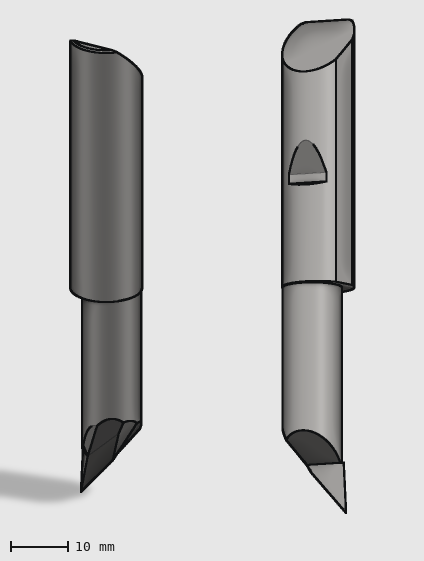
import cadquery as cq
import math

length = 88.55
shank_diameter = 12.7
shank_radius = shank_diameter / 2
shank_bottom = 40.5

flat_direction = 160.0
flat_half_angle = 20.0
slope_start = 77.75
slope_angle = 45.0
top_edge_break = 0.35
notch_top = 65.5
notch_deep_top = 59.8
notch_deep_bottom = 58.2
notch_bottom = 57.65
notch_depth = 1.1

neck_radius = 5.2
neck_x = shank_radius - neck_radius

blade_top = 9.0
tip = cq.Vector(-5.2, 0, 0)
blade_outer_corner = cq.Vector(-4.8, 0, blade_top)
ridge_corner = cq.Vector(-1.7, -3.45, blade_top)
edge_bend = cq.Vector(1.3, 0, 7.6)
edge_end = cq.Vector(shank_radius, 0, 15.9)
side_relief_end = cq.Vector(5.4, -3.0, 17.0)
ridge_end = cq.Vector(1.3, -neck_radius, 16.2)
heel_low = cq.Vector(-3.9, -1.6, 9.1)
heel_high = cq.Vector(-2.3, -3.9, 11.1)

margin = 0.9
cutter_size = 2.5 * length
along_x = cq.Vector(1, 0, 0)
along_y = cq.Vector(0, 1, 0)
along_z = cq.Vector(0, 0, 1)
kept_point = cq.Vector(neck_x, 0, length / 2)


def trim(body, point, first_direction, second_direction):
    """Remove all material beyond a plane, on the side away from the neck axis."""
    normal = first_direction.cross(second_direction)
    if normal.dot(kept_point - point) > 0:
        normal = -normal
    cutter = (
        cq.Workplane(cq.Plane(origin=point.toTuple(), normal=normal.toTuple()))
        .rect(cutter_size, cutter_size)
        .extrude(cutter_size)
    )
    return body.cut(cutter)


def trim_three_points(body, a, b, c):
    return trim(body, a, b - a, c - a)


def make_shank():
    shank = (
        cq.Workplane("XY", origin=(0, 0, shank_bottom))
        .circle(shank_radius)
        .extrude(length - shank_bottom)
        .faces(">Z").chamfer(top_edge_break)
    )
    slope_rise = math.tan(math.radians(slope_angle))
    slope_point = cq.Vector(0, shank_radius, slope_start)
    shank = trim(shank, slope_point, along_x, cq.Vector(0, -1, slope_rise))

    flat_angle = math.radians(flat_direction)
    flat_distance = shank_radius * math.cos(math.radians(flat_half_angle))
    flat_normal = cq.Vector(math.cos(flat_angle), math.sin(flat_angle), 0)
    flat_across = flat_normal.cross(along_z)
    shank = trim(shank, flat_normal * flat_distance, flat_across, along_z)

    notch_floor = shank_radius - notch_depth
    notch = (
        cq.Workplane("YZ")
        .polyline([
            (shank_radius, notch_top),
            (notch_floor, notch_deep_top),
            (notch_floor, notch_deep_bottom),
            (shank_radius, notch_bottom),
            (shank_radius + margin, notch_bottom),
            (shank_radius + margin, notch_top),
        ])
        .close()
        .extrude(shank_radius, both=True)
    )
    return shank.cut(notch)


def grind_tip(body):
    """Apply the clearance faces shared by the neck and the cutting point."""
    body = trim_three_points(body, tip, ridge_corner, edge_bend)
    body = trim_three_points(body, ridge_corner, ridge_end, side_relief_end)
    body = trim_three_points(body, edge_bend, edge_end, side_relief_end)
    body = trim(body, edge_bend, edge_end - edge_bend, along_y)
    front_slope = cq.Vector(0, ridge_end.y - ridge_corner.y, ridge_end.z - ridge_corner.z)
    return trim(body, ridge_corner, front_slope, along_x)


def make_neck():
    neck = (
        cq.Workplane("XY", origin=(neck_x, 0, blade_top))
        .circle(neck_radius)
        .extrude(shank_bottom - blade_top)
    )
    neck = trim(neck, cq.Vector(0, 0, blade_top), along_x, cq.Vector(0, 1, 1))
    neck = trim_three_points(neck, heel_low, heel_high, ridge_corner)
    return grind_tip(neck)


def make_point():
    point = cq.Workplane("XY").box(
        2 * shank_radius, neck_radius, blade_top, centered=(True, False, False)
    ).translate((0, -neck_radius, 0))
    point = trim_three_points(point, tip, blade_outer_corner, ridge_corner)
    return grind_tip(point)


result = make_shank().union(make_neck()).union(make_point())